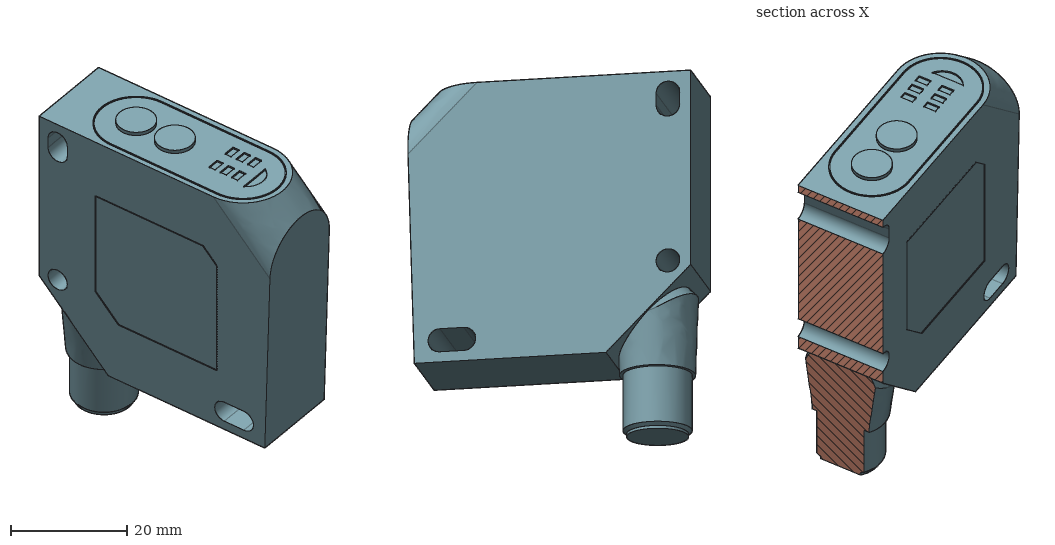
import cadquery as cq

HEIGHT_OVERALL = 63.55
BUTTON_HEIGHT = 0.7
DEPTH = 17.0
HALF_DEPTH = DEPTH / 2
TOP_Z = HEIGHT_OVERALL - BUTTON_HEIGHT
BOTTOM_Z = 13.15
BOTTOM_WIDTH = 48.55
TOP_WIDTH = 50.0
CONNECTOR_BEVEL = 14.9

NOSE_CENTER_X = 37.5

HOLE_DIAMETER = 4.1
HOLE_X = 4.0
ROUND_HOLE_Z = 29.0
UPPER_SLOT_Z = 57.95
UPPER_SLOT_LENGTH = 6.2
LOWER_SLOT_X = 41.95
LOWER_SLOT_Z = 17.0
LOWER_SLOT_LENGTH = 8.3

WINDOW_LEFT = 12.1
WINDOW_RIGHT = 38.2
WINDOW_BOTTOM = 25.2
WINDOW_TOP = 51.0
WINDOW_LOWER_BEVEL = 4.95
WINDOW_UPPER_BEVEL = 3.0
WINDOW_DEPTH = 0.2

BUTTON_DIAMETER = 7.05
BUTTON_PITCH = 8.3
PANEL_START_X = 14.5
PANEL_RADIUS = 7.45
GROOVE_WIDTH = 0.2
GROOVE_DEPTH = 0.1
LIGHT_LENGTH = 1.35
LIGHT_WIDTH = 2.35
LIGHT_PITCH = 2.4
FIRST_LIGHT_X = 32.55
LIGHT_COLUMNS = 3
LIGHT_ROWS_Y = (3.4, -1.15)
LENS_X = 39.9
LENS_HALF_WIDTH = 3.1
LENS_BULGE = 1.8
INDICATOR_DEPTH = 0.3

CONNECTOR_X = 7.55
BARREL_RADIUS = 6.0
BARREL_TOP_Z = 11.0
TIP_RADIUS = 5.35
TIP_HEIGHT = 0.5
TIP_CHAMFER_HEIGHT = 0.6
SHELL_BASE_RADIUS_X = 6.55
SHELL_BASE_RADIUS_Y = 6.8
SWIVEL_RADIUS = 8.0
SHELL_SWIVEL_RADIUS_X = 6.85


def housing_profile():
    """Block outline with the connector bevel, extruded over the full depth."""
    return (
        cq.Workplane("XZ", origin=(0, HALF_DEPTH, 0))
        .moveTo(0, TOP_Z)
        .lineTo(0, BOTTOM_Z + CONNECTOR_BEVEL)
        .lineTo(CONNECTOR_BEVEL, BOTTOM_Z)
        .lineTo(BOTTOM_WIDTH, BOTTOM_Z)
        .lineTo(TOP_WIDTH, TOP_Z)
        .close()
        .extrude(DEPTH)
    )


def nose_envelope():
    """Round-ended plan outline swept down at 45 degrees; it leaves the rounded nose."""
    drop = TOP_Z - BOTTOM_Z
    left = -drop
    outline = (
        cq.Workplane("XY", origin=(0, 0, TOP_Z))
        .moveTo(left, -HALF_DEPTH)
        .lineTo(NOSE_CENTER_X, -HALF_DEPTH)
        .threePointArc((NOSE_CENTER_X + HALF_DEPTH, 0), (NOSE_CENTER_X, HALF_DEPTH))
        .lineTo(left, HALF_DEPTH)
        .close()
    )
    sweep = cq.Vector(drop, 0, -drop)
    return cq.Workplane(cq.Solid.extrudeLinear(outline.val(), [], sweep))


def mounting_holes():
    """Round hole and two slots through the depth."""
    face = cq.Workplane("XZ", origin=(0, HALF_DEPTH, 0))
    hole = face.center(HOLE_X, ROUND_HOLE_Z).circle(HOLE_DIAMETER / 2).extrude(DEPTH)
    upper = face.center(HOLE_X, UPPER_SLOT_Z).slot2D(UPPER_SLOT_LENGTH, HOLE_DIAMETER, 90).extrude(DEPTH)
    lower = face.center(LOWER_SLOT_X, LOWER_SLOT_Z).slot2D(LOWER_SLOT_LENGTH, HOLE_DIAMETER).extrude(DEPTH)
    return hole.union(upper).union(lower)


def window_recess():
    """Shallow window in the front face with two bevelled corners."""
    return (
        cq.Workplane("XZ", origin=(0, -HALF_DEPTH + WINDOW_DEPTH, 0))
        .moveTo(WINDOW_LEFT, WINDOW_TOP)
        .lineTo(WINDOW_LEFT, WINDOW_BOTTOM + WINDOW_LOWER_BEVEL)
        .lineTo(WINDOW_LEFT + WINDOW_LOWER_BEVEL, WINDOW_BOTTOM)
        .lineTo(WINDOW_RIGHT, WINDOW_BOTTOM)
        .lineTo(WINDOW_RIGHT, WINDOW_TOP - WINDOW_UPPER_BEVEL)
        .lineTo(WINDOW_RIGHT - WINDOW_UPPER_BEVEL, WINDOW_TOP)
        .close()
        .extrude(WINDOW_DEPTH)
    )


def panel_outline(radius):
    """Round-ended plate of the given end radius, as deep as the panel groove."""
    span = NOSE_CENTER_X - PANEL_START_X
    return (
        cq.Workplane("XY", origin=(PANEL_START_X + span / 2, 0, TOP_Z - GROOVE_DEPTH))
        .slot2D(span + 2 * radius, 2 * radius)
        .extrude(GROOVE_DEPTH)
    )


def panel_groove():
    """Narrow groove around the control panel."""
    return panel_outline(PANEL_RADIUS).cut(panel_outline(PANEL_RADIUS - GROOVE_WIDTH))


def indicator_recesses():
    """Two rows of small lights and one lens shaped like a circle segment."""
    floor = cq.Workplane("XY", origin=(0, 0, TOP_Z - INDICATOR_DEPTH))
    lights = [
        (FIRST_LIGHT_X + column * LIGHT_PITCH, row_y)
        for column in range(LIGHT_COLUMNS)
        for row_y in LIGHT_ROWS_Y
    ]
    recesses = floor.pushPoints(lights).rect(LIGHT_LENGTH, LIGHT_WIDTH).extrude(INDICATOR_DEPTH)
    lens = (
        floor.moveTo(LENS_X, -LENS_HALF_WIDTH)
        .threePointArc((LENS_X + LENS_BULGE, 0), (LENS_X, LENS_HALF_WIDTH))
        .close()
        .extrude(INDICATOR_DEPTH)
    )
    return recesses.union(lens)


def buttons():
    """Two round push buttons on the panel."""
    centers = [(PANEL_START_X, 0), (PANEL_START_X + BUTTON_PITCH, 0)]
    return (
        cq.Workplane("XY", origin=(0, 0, TOP_Z))
        .pushPoints(centers)
        .circle(BUTTON_DIAMETER / 2)
        .extrude(BUTTON_HEIGHT)
    )


def make_housing():
    """Sensor housing with its nose, holes, window and control panel."""
    body = housing_profile().intersect(nose_envelope())
    body = body.cut(mounting_holes()).cut(window_recess())
    body = body.cut(panel_groove()).cut(indicator_recesses())
    return body.union(buttons())


def connector_barrel():
    """Turned plug end with a chamfer and a short reduced tip."""
    chamfer_top = TIP_HEIGHT + TIP_CHAMFER_HEIGHT
    half_section = cq.Plane(origin=(CONNECTOR_X, 0, 0), xDir=(0, -1, 0), normal=(-1, 0, 0))
    return (
        cq.Workplane(half_section)
        .lineTo(TIP_RADIUS, 0)
        .lineTo(TIP_RADIUS, TIP_HEIGHT)
        .lineTo(BARREL_RADIUS, chamfer_top)
        .lineTo(BARREL_RADIUS, BARREL_TOP_Z)
        .lineTo(0, BARREL_TOP_Z)
        .close()
        .revolve(360, (0, 0, 0), (0, 1, 0))
    )


def connector_shell(swivel_z):
    """Shell that widens upwards, mostly across the depth, to well above the bevel."""
    rise = 2 * (swivel_z - BARREL_TOP_Z)
    top_radius_x = 2 * SHELL_SWIVEL_RADIUS_X - SHELL_BASE_RADIUS_X
    top_radius_y = 2 * SWIVEL_RADIUS - SHELL_BASE_RADIUS_Y
    return (
        cq.Workplane("XY", origin=(CONNECTOR_X, 0, BARREL_TOP_Z))
        .ellipse(SHELL_BASE_RADIUS_X, SHELL_BASE_RADIUS_Y)
        .workplane(offset=rise)
        .ellipse(top_radius_x, top_radius_y)
        .loft(ruled=True)
    )


def swivel_envelope(swivel_z):
    """Prism standing out from the bevel: half round at its upper end, straight below."""
    bevel_plane = cq.Plane(origin=(CONNECTOR_X, 0, swivel_z), xDir=(0, -1, 0), normal=(-1, 0, -1))
    reach = 2 * CONNECTOR_BEVEL
    return (
        cq.Workplane(bevel_plane)
        .moveTo(-SWIVEL_RADIUS, -reach)
        .lineTo(-SWIVEL_RADIUS, 0)
        .threePointArc((0, SWIVEL_RADIUS), (SWIVEL_RADIUS, 0))
        .lineTo(SWIVEL_RADIUS, -reach)
        .close()
        .extrude(reach)
    )


def make_connector():
    """Angled connector whose round foot lies flat on the bevel of the housing."""
    swivel_z = BOTTOM_Z + CONNECTOR_BEVEL - CONNECTOR_X
    shell = connector_shell(swivel_z).intersect(swivel_envelope(swivel_z))
    return shell.union(connector_barrel())


housing = make_housing()
connector = make_connector()
result = cq.Compound.makeCompound([housing.val(), connector.val()])